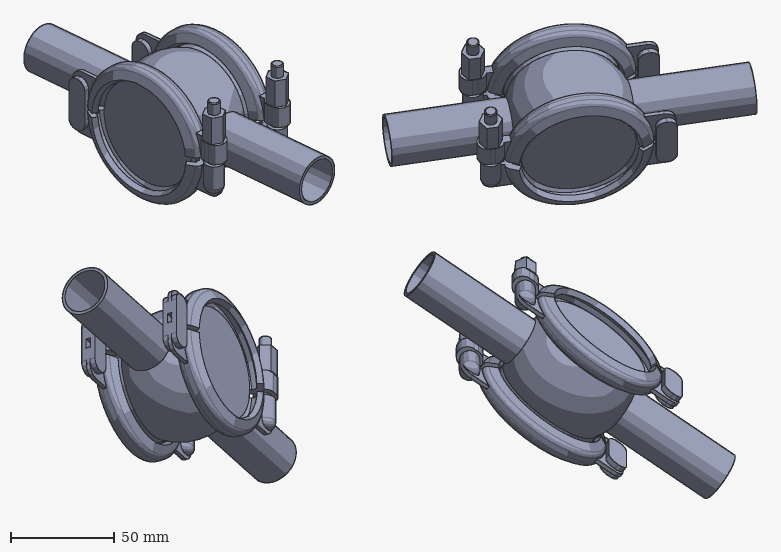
import cadquery as cq
import math

TUBE_LENGTH = 180.0
TUBE_OUTER_RADIUS = 12.8
TUBE_BORE_RADIUS = 11.2
BALL_RADIUS = 32.5
NECK_RADIUS = 28.5

CLAMP_OFFSET = 22.9
RING_HALF_WIDTH = 6.5
RING_DIAMETER = 73.6
RING_RADIUS = RING_DIAMETER / 2
RING_MOUTH_RADIUS = 30.6
RING_CONE_DEPTH = 3.0
RING_ROUND = 3.2
LIP_RADIUS = 29.0
LIP_HALF_SPACING = 3.8
GROOVE_RADIUS = 32.8
GROOVE_HALF_WIDTH = 1.5
HINGE_GAP = 2.5
BOLT_GAP = 4.7

PLATE_END = 48.0
PLATE_HALF_HEIGHT = 17.6
PLATE_CORNER = 6.0
PLATE_THICKNESS = 2.0
PLATE_ROOT = 31.5
PAD_WIDTH = 10.5
PAD_HEIGHT = 29.2
PAD_THICKNESS = 7.5
PAD_CORNER = 5.0
WINDOW_HEIGHT = 5.0
WINDOW_WIDTH = 2.3

BOLT_X = 43.4
COLLAR_PLATE_THICKNESS = 4.3
COLLAR_RADIUS = 5.4
COLLAR_LENGTH = 13.5
COLLAR_BOTTOM = 4.0
COLLAR_TOP = 15.0
NUT_TOP = 30.0
NUT_ACROSS_CORNERS = 11.5
STUD_RADIUS = 3.0
STUD_TOP = RING_RADIUS
STUD_CHAMFER = 0.5
BARREL_RADIUS = 5.0
BARREL_TOP = 1.8
BARREL_BOTTOM = -15.0
BARREL_ROUND = 3.8


def make_housing():
    """Ball and necks turned about Y, joined to the tube and bored along X."""
    neck_start = math.sqrt(BALL_RADIUS**2 - NECK_RADIUS**2)
    body = (
        cq.Workplane("XY")
        .moveTo(0, -CLAMP_OFFSET)
        .lineTo(NECK_RADIUS, -CLAMP_OFFSET)
        .lineTo(NECK_RADIUS, -neck_start)
        .threePointArc((BALL_RADIUS, 0), (NECK_RADIUS, neck_start))
        .lineTo(NECK_RADIUS, CLAMP_OFFSET)
        .lineTo(0, CLAMP_OFFSET)
        .close()
        .revolve(360, (0, 0, 0), (0, 1, 0))
    )
    tube = cq.Workplane("YZ").circle(TUBE_OUTER_RADIUS).extrude(TUBE_LENGTH / 2, both=True)
    bore = cq.Workplane("YZ").circle(TUBE_BORE_RADIUS).extrude(TUBE_LENGTH / 2, both=True)
    return body.union(tube).cut(bore)


def turned_about_y(points):
    """Solid of revolution about Y from (radius, y) points."""
    return cq.Workplane("XY").polyline(points).close().revolve(360, (0, 0, 0), (0, 1, 0))


def make_ring_blank():
    """Solid disc with coned sides and a rounded rim."""
    rim_half_width = RING_HALF_WIDTH - RING_CONE_DEPTH
    blank = turned_about_y([
        (0, -RING_HALF_WIDTH),
        (RING_MOUTH_RADIUS, -RING_HALF_WIDTH),
        (RING_RADIUS, -rim_half_width),
        (RING_RADIUS, rim_half_width),
        (RING_MOUTH_RADIUS, RING_HALF_WIDTH),
        (0, RING_HALF_WIDTH),
    ])
    midway_length = math.pi * (RING_MOUTH_RADIUS + RING_RADIUS)
    rim_edges = blank.edges().filter(lambda edge: edge.Length() > midway_length)
    return rim_edges.fillet(RING_ROUND)


def make_ring_bore():
    """Tapered mouths leading to two lips with a V groove between them."""
    return turned_about_y([
        (0, -RING_HALF_WIDTH),
        (RING_MOUTH_RADIUS, -RING_HALF_WIDTH),
        (LIP_RADIUS, -LIP_HALF_SPACING),
        (GROOVE_RADIUS, -GROOVE_HALF_WIDTH),
        (GROOVE_RADIUS, GROOVE_HALF_WIDTH),
        (LIP_RADIUS, LIP_HALF_SPACING),
        (RING_MOUTH_RADIUS, RING_HALF_WIDTH),
        (0, RING_HALF_WIDTH),
    ])


def box_between(x_range, z_range, thickness):
    """Box centred on the ring's mid-plane."""
    length = x_range[1] - x_range[0]
    height = z_range[1] - z_range[0]
    centre = (sum(x_range) / 2, 0, sum(z_range) / 2)
    return cq.Workplane("XY").box(length, thickness, height).translate(centre)


def make_hinge():
    """Thin plate with rounded ends, carrying a thick rounded pad."""
    plate = box_between(
        (-PLATE_END, -PLATE_ROOT), (-PLATE_HALF_HEIGHT, PLATE_HALF_HEIGHT), PLATE_THICKNESS
    ).edges("|Y and <X").fillet(PLATE_CORNER)
    pad = box_between(
        (-PLATE_END, PAD_WIDTH - PLATE_END), (-PAD_HEIGHT / 2, PAD_HEIGHT / 2), PAD_THICKNESS
    ).edges("|Y").fillet(PAD_CORNER)
    return plate.union(pad)


def make_window():
    """Opening through the hinge to the split of the ring."""
    return box_between(
        (-PLATE_END, -PLATE_ROOT), (-WINDOW_HEIGHT / 2, WINDOW_HEIGHT / 2), WINDOW_WIDTH
    )


def make_bolt_plates():
    """Plates that carry the collar above the split and the barrel below it."""
    upper = box_between((PLATE_ROOT, BOLT_X), (COLLAR_BOTTOM, COLLAR_TOP), COLLAR_PLATE_THICKNESS)
    lower = box_between(
        (PLATE_ROOT, PLATE_END), (-PLATE_HALF_HEIGHT, -BOLT_GAP / 2), PLATE_THICKNESS
    ).edges("|Y and >X and <Z").fillet(PLATE_CORNER)
    return upper.union(lower)


def make_bolt():
    """Barrel, stud, collar and long nut stacked along Z."""
    def level(z):
        return cq.Workplane("XY", origin=(BOLT_X, 0, z))

    barrel = (
        level(BARREL_BOTTOM).circle(BARREL_RADIUS).extrude(BARREL_TOP - BARREL_BOTTOM)
        .faces("<Z").edges().fillet(BARREL_ROUND)
    )
    stud = (
        level(BARREL_TOP).circle(STUD_RADIUS).extrude(STUD_TOP - BARREL_TOP)
        .faces(">Z").edges().chamfer(STUD_CHAMFER)
    )
    collar = (
        level(COLLAR_BOTTOM).slot2D(COLLAR_LENGTH, 2 * COLLAR_RADIUS)
        .extrude(COLLAR_TOP - COLLAR_BOTTOM)
    )
    nut = level(COLLAR_TOP).polygon(6, NUT_ACROSS_CORNERS).extrude(NUT_TOP - COLLAR_TOP)
    return barrel.union(stud).union(collar).union(nut)


def make_clamp():
    """One clamp about the Y axis, centred on y = 0."""
    hinge_split = box_between(
        (-RING_RADIUS, 0), (-HINGE_GAP / 2, HINGE_GAP / 2), 2 * RING_HALF_WIDTH
    )
    bolt_split = box_between((0, RING_RADIUS), (-BOLT_GAP / 2, BOLT_GAP / 2), 2 * RING_HALF_WIDTH)
    return (
        make_ring_blank()
        .union(make_hinge())
        .union(make_bolt_plates())
        .cut(make_ring_bore())
        .cut(hinge_split)
        .cut(bolt_split)
        .cut(make_window())
        .union(make_bolt())
    )


housing = make_housing()
clamp = make_clamp()
clamps = [clamp.translate((0, side * CLAMP_OFFSET, 0)) for side in (-1, 1)]

result = cq.Compound.makeCompound([housing.val(), *[copy.val() for copy in clamps]])